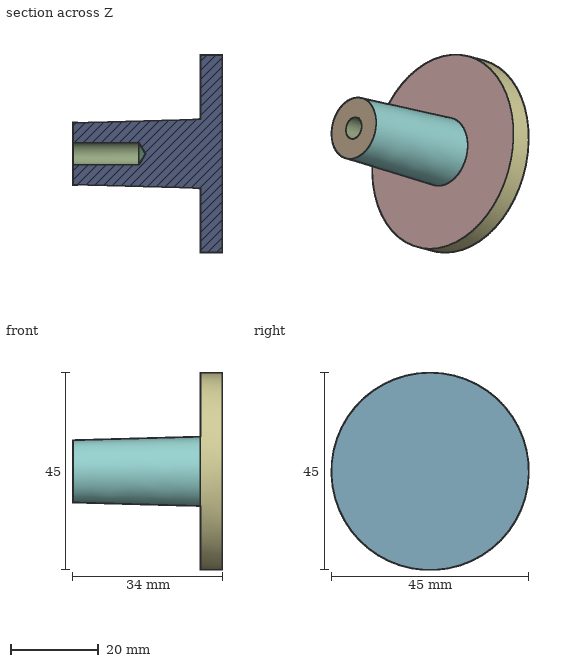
import cadquery as cq
import math

flange_diameter = 45.0
flange_thickness = 5.0
spigot_length = 29.0
spigot_tip_diameter = 14.237
spigot_root_diameter = 15.85
hole_diameter = 5.0
hole_depth = 15.0
drill_point_angle = 118.0

total_length = spigot_length + flange_thickness
hole_radius = hole_diameter / 2
drill_point_length = hole_radius / math.tan(math.radians(drill_point_angle / 2))


def revolve_about_x(points):
    """Turn a closed (x, radius) profile a full revolution about the X axis."""
    return cq.Workplane("XZ").polyline(points).close().revolve(360, (0, 0, 0), (1, 0, 0))


def make_body():
    """Tapered spigot starting at x = 0, widening into the flange at the +X end."""
    return revolve_about_x([
        (0, 0),
        (0, spigot_tip_diameter / 2),
        (spigot_length, spigot_root_diameter / 2),
        (spigot_length, flange_diameter / 2),
        (total_length, flange_diameter / 2),
        (total_length, 0),
    ])


def make_hole():
    """Blind axial hole in the spigot tip, ending in a conical drill point."""
    return revolve_about_x([
        (0, 0),
        (0, hole_radius),
        (hole_depth, hole_radius),
        (hole_depth + drill_point_length, 0),
    ])


result = make_body().cut(make_hole())